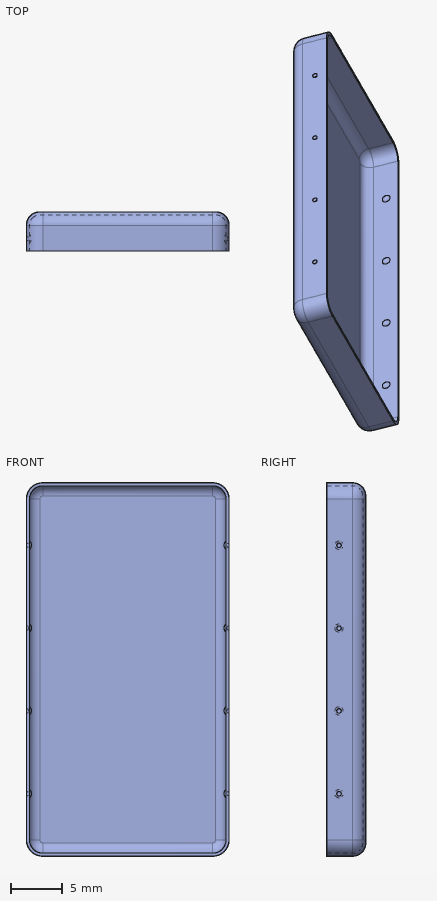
import cadquery as cq

width = 19.6
depth = 3.8
height = 36.1
wall = 0.3

corner_radius = 1.6
back_radius = 1.3

dent_radius = 0.22
bump_radius = 0.5
dimple_count = 4
dimple_pitch = 8.0
dimple_from_rim = 1.2

rim_y = -depth / 2


def rounded_block(inset):
    """Block with rounded corners and back edge, inset from the outside of the tray."""
    return (
        cq.Workplane("XZ", origin=(0, rim_y, 0))
        .rect(width - 2 * inset, height - 2 * inset)
        .extrude(inset - depth)
        .edges("|Y")
        .fillet(corner_radius - inset)
        .faces(">Y")
        .edges()
        .fillet(back_radius - inset)
    )


def dimple_spheres(radius):
    """Spheres centred on the outer faces of both side walls, one per dimple."""
    first_z = -(dimple_count - 1) * dimple_pitch / 2
    ball = cq.Workplane("XY").sphere(radius, direct=(1, 0, 0))
    spheres = cq.Workplane("XY")
    for side_x in (-width / 2, width / 2):
        for i in range(dimple_count):
            centre = (side_x, rim_y + dimple_from_rim, first_z + i * dimple_pitch)
            spheres = spheres.add(ball.translate(centre))
    return spheres.combine()


outside = rounded_block(0)
cavity = rounded_block(wall).cut(dimple_spheres(bump_radius))
result = outside.cut(cavity).cut(dimple_spheres(dent_radius))